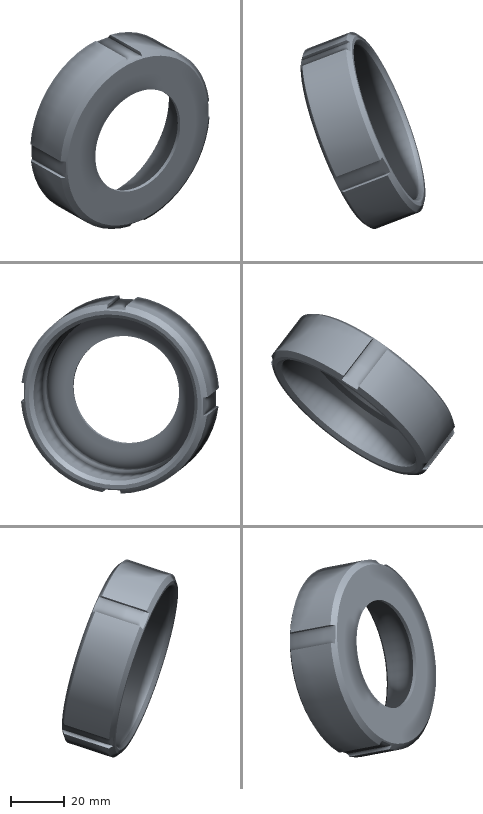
import cadquery as cq

outer_radius = 36.05
length = 21.0
outer_chamfer_axial = 1.6
face_radius = 34.05

bore_radius = 31.1
mouth_radius = 32.5
mouth_chamfer = mouth_radius - bore_radius
seat_radius = 30.0
step_taper_length = 1.8
floor_thickness = 1.45
seat_depth = 2.7
hole_radius = 20.5

slot_count = 4
slot_width = 7.05
slot_offset = 1.0
slot_floor_radius = 34.5

open_face = -length / 2
closed_face = length / 2
floor_face = closed_face - floor_thickness
step_end = floor_face - seat_depth


def make_ring():
    """Revolve the (axial, radial) half section about the X axis."""
    section = [
        (open_face, mouth_radius),
        (open_face, face_radius),
        (open_face + outer_chamfer_axial, outer_radius),
        (closed_face - outer_chamfer_axial, outer_radius),
        (closed_face, face_radius),
        (closed_face, hole_radius),
        (floor_face, hole_radius),
        (floor_face, seat_radius),
        (step_end, seat_radius),
        (step_end - step_taper_length, bore_radius),
        (open_face + mouth_chamfer, bore_radius),
    ]
    return cq.Workplane("XY").polyline(section).close().revolve(360, (0, 0, 0), (1, 0, 0))


def make_slot(angle):
    """Full-length slot cutter, turned about X from the +Z position."""
    return (
        cq.Workplane("XY")
        .box(length, slot_width, outer_radius, centered=(True, True, False))
        .translate((0, -slot_offset, slot_floor_radius))
        .rotate((0, 0, 0), (1, 0, 0), angle)
    )


result = make_ring()
for index in range(slot_count):
    result = result.cut(make_slot(index * 360 / slot_count))